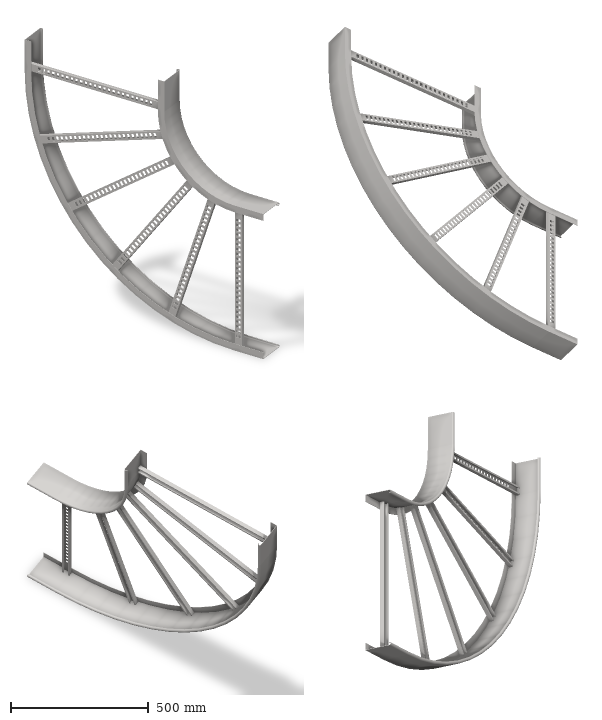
import cadquery as cq
import math


BEND_ANGLE = 90.0
INNER_RADIUS = 300.0
TRAY_WIDTH = 600.0
LEG_LENGTH = 125.0
RAIL_DEPTH = 110.0
SHEET = 1.5

FLANGE_WIDTH = 28.0
CURL_RADIUS = 6.0
CURL_LIP = 2.0

RUNG_COUNT = 6
RUNG_WIDTH = 31.0
RUNG_DEPTH = 15.0
RUNG_SETBACK = 4.0
RUNG_LIP = 6.0

SLOT_COUNT = 25
SLOT_ROW_LENGTH = 480.0
SLOT_WIDTH = 10.0
SLOT_HEIGHT = 18.0

OUTER_RADIUS = INNER_RADIUS + TRAY_WIDTH
RUNG_START = INNER_RADIUS + SHEET
RUNG_END = math.sqrt((OUTER_RADIUS - SHEET) ** 2 - (RUNG_WIDTH / 2) ** 2)
RUNG_LENGTH = RUNG_END - RUNG_START
RUNG_MIDDLE = (RUNG_START + RUNG_END) / 2
SLOT_PITCH = SLOT_ROW_LENGTH / (SLOT_COUNT - 1)
RUNG_STEP = BEND_ANGLE / (RUNG_COUNT - 1)
BEND_AXIS = ((0, 0, 0), (0, 1, 0))


def rail_profile(radius, inward):
    """Rail section on the -X side; inward is +1 if the tray lies toward +X of the web, else -1."""

    def point(offset, y):
        return (-radius + inward * offset, y)

    curl_y = RAIL_DEPTH - CURL_RADIUS
    curl_end = 2 * CURL_RADIUS
    return (
        cq.Workplane("XY")
        .moveTo(*point(0, 0))
        .lineTo(*point(FLANGE_WIDTH, 0))
        .lineTo(*point(FLANGE_WIDTH, SHEET))
        .lineTo(*point(SHEET, SHEET))
        .lineTo(*point(SHEET, curl_y))
        .threePointArc(point(CURL_RADIUS, RAIL_DEPTH - SHEET), point(curl_end - SHEET, curl_y))
        .lineTo(*point(curl_end - SHEET, curl_y - CURL_LIP))
        .lineTo(*point(curl_end, curl_y - CURL_LIP))
        .lineTo(*point(curl_end, curl_y))
        .threePointArc(point(CURL_RADIUS, RAIL_DEPTH), point(0, curl_y))
        .close()
    )


def follow_tray(section):
    """Carry a closed section on the -X side along the upper leg, the bend and the right-hand leg."""

    def outline():
        return cq.Workplane("XY").add(section.val()).toPending()

    upper_leg = outline().extrude(LEG_LENGTH)
    bend = outline().revolve(BEND_ANGLE, (0, 0), (0, -1))
    right_leg = outline().extrude(-LEG_LENGTH).rotate(*BEND_AXIS, -BEND_ANGLE)
    return upper_leg.union(bend).union(right_leg)


def rung_channel():
    """Slotted, lipped channel along -X between the two rail webs, open to the back."""
    blank = cq.Workplane("XY").box(RUNG_LENGTH, RUNG_DEPTH, RUNG_WIDTH)
    hollow = cq.Workplane("XY").box(RUNG_LENGTH, RUNG_DEPTH - 2 * SHEET, RUNG_WIDTH - 2 * SHEET)
    opening = (
        cq.Workplane("XY")
        .box(RUNG_LENGTH, RUNG_DEPTH, RUNG_WIDTH - 2 * RUNG_LIP)
        .translate((0, SHEET, 0))
    )
    slots = (
        cq.Workplane("XZ", origin=(0, SHEET - RUNG_DEPTH / 2, 0))
        .rarray(SLOT_PITCH, 10, SLOT_COUNT, 1)
        .rect(SLOT_WIDTH, SLOT_HEIGHT)
        .extrude(SHEET)
    )
    channel = blank.cut(hollow).cut(opening).cut(slots)
    return channel.translate((-RUNG_MIDDLE, RUNG_SETBACK + RUNG_DEPTH / 2, 0))


def rung_offset(index):
    """Sideways shift: the end rungs stand in the straight legs, against the start of the bend."""
    if index == 0:
        return RUNG_WIDTH / 2
    if index == RUNG_COUNT - 1:
        return -RUNG_WIDTH / 2
    return 0


outer_rail = follow_tray(rail_profile(OUTER_RADIUS, 1))
inner_rail = follow_tray(rail_profile(INNER_RADIUS, -1))

channel = rung_channel()
rungs = []
for index in range(RUNG_COUNT):
    shifted = channel.translate((0, 0, rung_offset(index)))
    rungs.append(shifted.rotate(*BEND_AXIS, -index * RUNG_STEP))

result = cq.Compound.makeCompound(
    [outer_rail.val(), inner_rail.val(), *[rung.val() for rung in rungs]]
)